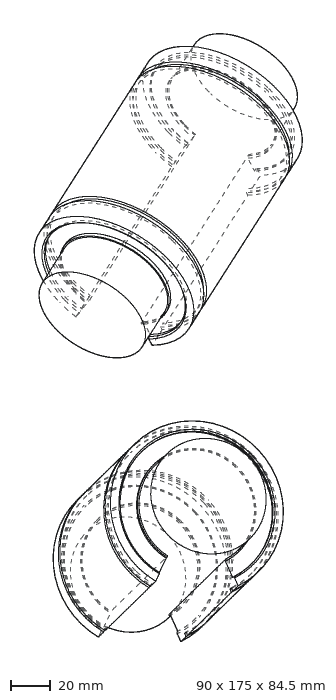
import cadquery as cq
import math

shaft_length = 175
shaft_diameter = 60.0

sleeve_length = 125.0
sleeve_diameter = 90.0

groove_width = 3.2
groove_diameter = 86.5
end_land_width = 11.5

recess_depth = 2.5
recess_diameter = 79.5
rim_chamfer = 0.9
collar_diameter = 61.6
collar_setback = 0.5

opening_angle = 50
lip_drop = 39.5

sleeve_radius = sleeve_diameter / 2


def y_cylinder(diameter, length, centre_y=0):
    """Cylinder along Y, centred at centre_y."""
    start = cq.Vector(0, centre_y - length / 2, 0)
    return cq.Workplane(cq.Solid.makeCylinder(diameter / 2, length, start, cq.Vector(0, 1, 0)))


def retaining_groove(side):
    """Square groove around the sleeve; side is -1 or +1 along Y."""
    centre_y = side * (sleeve_length / 2 - end_land_width - groove_width / 2)
    outer = y_cylinder(sleeve_diameter, groove_width, centre_y)
    return outer.cut(y_cylinder(groove_diameter, groove_width, centre_y))


def end_recess(side):
    """Ring-shaped pocket with a chamfered rim in one end face; side is -1 or +1 along Y."""
    face_y = side * sleeve_length / 2
    rim = cq.Solid.makeCone(
        recess_diameter / 2 + rim_chamfer,
        recess_diameter / 2,
        rim_chamfer,
        cq.Vector(0, face_y, 0),
        cq.Vector(0, -side, 0),
    )
    pocket = y_cylinder(recess_diameter, 2 * recess_depth, face_y).union(cq.Workplane(rim))
    collar_length = sleeve_length - 2 * collar_setback
    return pocket.cut(y_cylinder(collar_diameter, collar_length))


def underside_opening():
    """Wedge whose flanks meet the outside of the sleeve at the lip tips."""
    flank_slope = math.tan(math.radians(opening_angle / 2))
    lip_x = math.sqrt(sleeve_radius**2 - lip_drop**2)
    apex_z = lip_x / flank_slope - lip_drop
    base_z = -sleeve_diameter
    base_x = (apex_z - base_z) * flank_slope
    return (
        cq.Workplane("XZ")
        .polyline([(0, apex_z), (base_x, base_z), (-base_x, base_z)])
        .close()
        .extrude(sleeve_length / 2, both=True)
    )


sleeve = y_cylinder(sleeve_diameter, sleeve_length)
for side in (-1, 1):
    sleeve = sleeve.cut(retaining_groove(side)).cut(end_recess(side))
sleeve = sleeve.cut(underside_opening())

shaft = y_cylinder(shaft_diameter, shaft_length)
result = sleeve.union(shaft)